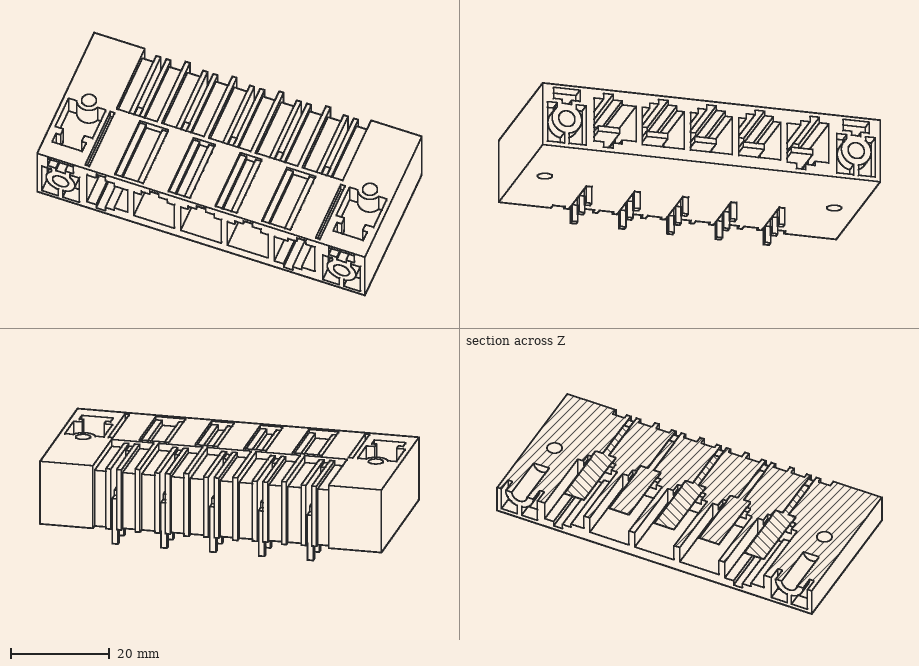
import cadquery as cq

LENGTH = 71.1
DEPTH = 32.0
HEIGHT = 13.5
POSITIONS = 5
PITCH = LENGTH / (POSITIONS + 2)
WALL = 1.0

BLADE_WIDTH = 4.5
BLADE_THICKNESS = 1.15
BLADE_Z = 6.75
BLADE_TIP_Y = 4.4
CONTACT_WIDTH = 1.2
WEB_FRONT_Y = 18.8
WEB_STEP_Y = 28.45
WEB_BACK_Y = 30.4
WEB_TOP_Z = BLADE_Z + BLADE_THICKNESS / 2
WEB_TAIL_TOP_Z = BLADE_Z - BLADE_THICKNESS / 2
PIN_DEPTH = 1.3
PIN_LENGTH = 3.55
PIN_SPACING = PITCH / 2
PINS_PER_CONTACT = 3

SOCKET_DEPTH = 15.0
SOCKET_HALF_WIDTH = 4.4
SOCKET_TOP_Z = 10.6
SOCKET_BOTTOM_Z = 2.4
KEY_HALF_WIDTH = WALL
KEY_TOP_Z = 12.65
MIDDLE_STEP_HALF_WIDTH = 2.85
MIDDLE_STEP_Z = 11.65
END_STEP_X = 1.5
END_STEP_Z = 11.45
END_KEY_X = -1.4
END_BOTTOM_Z = 2.9
END_LOW_STEP_Z = 2.05
END_KEY_BOTTOM_Z = 0.9
BLADE_RECESS_WIDTH = 6.25
BLADE_RECESS_HEIGHT = 3.35
BLADE_RECESS_DEPTH = 2.0

DECK_HALF_LENGTH = 24.55
DECK_FRONT_Y = 16.1
DECK_BACK_Y = 30.6
DECK_Z = 12.0
RIB_WIDTH = WALL
LOW_RIB_BACK_Y = 31.6
LOW_RIB_TOP_Z = 12.95
RIB_BRIDGE_Z = 12.4

GROOVE_FRONT_Y = 0.85
GROOVE_BACK_Y = SOCKET_DEPTH
GROOVE_FLOOR_Z = 11.7
GROOVE_LEDGE_Z = 12.8
GROOVE_LEDGE_WIDTH = 1.35
MIDDLE_GROOVE_WIDTH = 4.7
OUTER_GROOVE_WIDTH = 6.2
OUTER_GROOVE_SHIFT = 0.7
END_GROOVE_WIDTH = 0.9

FLANGE_X = LENGTH / 2 - PITCH / 2
SCREW_Y = 16.0
SCREW_HOLE_RADIUS = 1.5
SCREW_BOSS_RADIUS = 2.5
NUT_POCKET_FLOOR_Z = 9.0
NUT_POCKET_BACK_Y = 15.0
NUT_POCKET_STEP_Y = 7.55
NUT_POCKET_HEAD_Y = 6.0
NUT_POCKET_FRONT_Y = 3.8
FLANGE_POCKET_HALF_WIDTH = 4.05
NUT_NECK_HALF_WIDTH = 2.3
NUT_HEAD_HALF_WIDTH = 3.3
BORE_Z = 6.25
BORE_RADIUS = 1.7
BORE_DEPTH = 9.95
TUBE_RADIUS = 3.1
FLANGE_RECESS_DEPTH = 3.0
FLANGE_RECESS_BOTTOM_Z = 0.9
FLANGE_RECESS_TOP_Z = 9.5
TUBE_BLOCK_HALF_WIDTH = 2.0
T_BAR_HALF_WIDTH = 2.8
T_BAR_BOTTOM_Z = 10.4
T_BAR_TOP_Z = 12.8

POSITION_XS = [(i - (POSITIONS - 1) / 2) * PITCH for i in range(POSITIONS)]
BOUNDARY_XS = [x + PITCH / 2 for x in POSITION_XS[:-1]]


def block(x0, x1, y0, y1, z0, z1):
    """Box between two opposite corners."""
    return cq.Workplane("XY").box(x1 - x0, y1 - y0, z1 - z0, centered=False).translate((x0, y0, z0))


def extrude_back(points, depth):
    """Prism with an X-Z outline, running from the mating face toward +Y."""
    return cq.Workplane("XZ").polyline(points).close().extrude(-depth)


def tube(x, radius, depth):
    """Cylinder running from the mating face toward +Y at the flange bore height."""
    return cq.Workplane("XZ").center(x, BORE_Z).circle(radius).extrude(-depth)


def middle_socket(x):
    """Socket with a centred step and key in its roof and a flat floor."""
    body = block(x - SOCKET_HALF_WIDTH, x + SOCKET_HALF_WIDTH, 0, SOCKET_DEPTH, SOCKET_BOTTOM_Z, SOCKET_TOP_Z)
    step = block(
        x - MIDDLE_STEP_HALF_WIDTH, x + MIDDLE_STEP_HALF_WIDTH, 0, SOCKET_DEPTH, SOCKET_TOP_Z, MIDDLE_STEP_Z
    )
    key = block(x - KEY_HALF_WIDTH, x + KEY_HALF_WIDTH, 0, SOCKET_DEPTH, MIDDLE_STEP_Z, KEY_TOP_Z)
    return body.union(step).union(key)


def end_socket(x, side):
    """Socket with its high roof toward the given end (-1 or 1) and its low floor always toward -X."""
    roof = [
        (x - side * SOCKET_HALF_WIDTH, SOCKET_TOP_Z),
        (x - side * END_STEP_X, SOCKET_TOP_Z),
        (x - side * END_STEP_X, END_STEP_Z),
        (x - side * (END_KEY_X + KEY_HALF_WIDTH), END_STEP_Z),
        (x - side * (END_KEY_X + KEY_HALF_WIDTH), KEY_TOP_Z),
        (x - side * (END_KEY_X - KEY_HALF_WIDTH), KEY_TOP_Z),
        (x - side * (END_KEY_X - KEY_HALF_WIDTH), END_STEP_Z),
        (x + side * SOCKET_HALF_WIDTH, END_STEP_Z),
    ]
    if side > 0:
        roof.reverse()
    floor = [
        (x - SOCKET_HALF_WIDTH, END_LOW_STEP_Z),
        (x + END_KEY_X - KEY_HALF_WIDTH, END_LOW_STEP_Z),
        (x + END_KEY_X - KEY_HALF_WIDTH, END_KEY_BOTTOM_Z),
        (x + END_KEY_X + KEY_HALF_WIDTH, END_KEY_BOTTOM_Z),
        (x + END_KEY_X + KEY_HALF_WIDTH, END_LOW_STEP_Z),
        (x + END_STEP_X, END_LOW_STEP_Z),
        (x + END_STEP_X, END_BOTTOM_Z),
        (x + SOCKET_HALF_WIDTH, END_BOTTOM_Z),
    ]
    return extrude_back(floor + roof, SOCKET_DEPTH)


def blade_recess(x):
    """Rectangular recess around the blade in the socket's end wall."""
    return block(
        x - BLADE_RECESS_WIDTH / 2,
        x + BLADE_RECESS_WIDTH / 2,
        SOCKET_DEPTH,
        SOCKET_DEPTH + BLADE_RECESS_DEPTH,
        BLADE_Z - BLADE_RECESS_HEIGHT / 2,
        BLADE_Z + BLADE_RECESS_HEIGHT / 2,
    )


def web_slot(x):
    """Slot for the contact's upright web, open at the top, bottom and back."""
    return block(x - CONTACT_WIDTH / 2, x + CONTACT_WIDTH / 2, WEB_FRONT_Y, DEPTH, 0, HEIGHT)


def rear_deck(housing):
    """Lower the rear top and set the rear wall in, leaving full ribs, low rib pairs and rib bridges."""
    length = DECK_HALF_LENGTH
    cut = block(-length, length, DECK_FRONT_Y, DEPTH, DECK_Z, HEIGHT)
    cut = cut.union(block(-length, length, DECK_BACK_Y, DEPTH, 0, HEIGHT))
    for x in BOUNDARY_XS:
        cut = cut.cut(block(x - RIB_WIDTH / 2, x + RIB_WIDTH / 2, DECK_FRONT_Y, DEPTH, 0, HEIGHT))
    rib_offset = (CONTACT_WIDTH + RIB_WIDTH) / 2
    for x in POSITION_XS:
        for rib_x in (x - rib_offset, x + rib_offset):
            rib = block(
                rib_x - RIB_WIDTH / 2, rib_x + RIB_WIDTH / 2, DECK_FRONT_Y, LOW_RIB_BACK_Y, 0, LOW_RIB_TOP_Z
            )
            cut = cut.cut(rib)
        bridge = block(
            x - CONTACT_WIDTH / 2, x + CONTACT_WIDTH / 2, DECK_FRONT_Y, WEB_FRONT_Y, 0, RIB_BRIDGE_Z
        )
        cut = cut.cut(bridge)
    return housing.cut(cut)


def stepped_groove(x, width):
    """Groove in the top face with a ledge along each side."""
    half_width = width / 2
    inner = half_width - GROOVE_LEDGE_WIDTH
    upper = block(x - half_width, x + half_width, GROOVE_FRONT_Y, GROOVE_BACK_Y, GROOVE_LEDGE_Z, HEIGHT)
    lower = block(x - inner, x + inner, GROOVE_FRONT_Y, GROOVE_BACK_Y, GROOVE_FLOOR_Z, HEIGHT)
    return upper.union(lower)


def top_grooves(housing):
    """Stepped grooves between neighbouring sockets and a narrow groove beside each flange."""
    first, *middle, last = BOUNDARY_XS
    housing = housing.cut(stepped_groove(first - OUTER_GROOVE_SHIFT, OUTER_GROOVE_WIDTH))
    housing = housing.cut(stepped_groove(last + OUTER_GROOVE_SHIFT, OUTER_GROOVE_WIDTH))
    for x in middle:
        housing = housing.cut(stepped_groove(x, MIDDLE_GROOVE_WIDTH))
    for x0 in (-DECK_HALF_LENGTH - END_GROOVE_WIDTH, DECK_HALF_LENGTH):
        groove = block(x0, x0 + END_GROOVE_WIDTH, GROOVE_FRONT_Y, GROOVE_BACK_Y, GROOVE_FLOOR_Z, HEIGHT)
        housing = housing.cut(groove)
    return housing


def nut_pocket(x):
    """Pocket in the top face with a neck and head toward the front, leaving the screw boss standing."""
    floor = NUT_POCKET_FLOOR_Z
    half = FLANGE_POCKET_HALF_WIDTH
    neck = NUT_NECK_HALF_WIDTH
    head = NUT_HEAD_HALF_WIDTH
    pocket = block(x - half, x + half, NUT_POCKET_STEP_Y, NUT_POCKET_BACK_Y, floor, HEIGHT)
    pocket = pocket.union(block(x - neck, x + neck, NUT_POCKET_HEAD_Y, NUT_POCKET_STEP_Y, floor, HEIGHT))
    pocket = pocket.union(block(x - head, x + head, NUT_POCKET_FRONT_Y, NUT_POCKET_HEAD_Y, floor, HEIGHT))
    boss = cq.Workplane("XY").center(x, SCREW_Y).circle(SCREW_BOSS_RADIUS).extrude(HEIGHT)
    return pocket.cut(boss)


def tube_recess(x):
    """Recess in the mating face around the bore tube, its lower web and its upper block."""
    half = FLANGE_POCKET_HALF_WIDTH
    recess = block(
        x - half, x + half, 0, FLANGE_RECESS_DEPTH, FLANGE_RECESS_BOTTOM_Z, FLANGE_RECESS_TOP_Z
    )
    lower_web = block(x - WALL / 2, x + WALL / 2, 0, FLANGE_RECESS_DEPTH, 0, BORE_Z)
    upper_block = block(
        x - TUBE_BLOCK_HALF_WIDTH, x + TUBE_BLOCK_HALF_WIDTH, 0, FLANGE_RECESS_DEPTH, BORE_Z, HEIGHT
    )
    return recess.cut(tube(x, TUBE_RADIUS, FLANGE_RECESS_DEPTH)).cut(lower_web).cut(upper_block)


def t_recess(x):
    """T-shaped recess in the mating face above the bore tube."""
    bar = block(
        x - T_BAR_HALF_WIDTH, x + T_BAR_HALF_WIDTH, 0, FLANGE_RECESS_DEPTH, T_BAR_BOTTOM_Z, T_BAR_TOP_Z
    )
    stem = block(x - WALL, x + WALL, 0, FLANGE_RECESS_DEPTH, FLANGE_RECESS_TOP_Z, T_BAR_BOTTOM_Z)
    return bar.union(stem)


def flange_features(housing):
    """Screw hole, nut pocket, bore and front recesses in each end flange."""
    for x in (-FLANGE_X, FLANGE_X):
        screw_hole = cq.Workplane("XY").center(x, SCREW_Y).circle(SCREW_HOLE_RADIUS).extrude(HEIGHT)
        housing = housing.cut(nut_pocket(x)).cut(screw_hole)
        housing = housing.cut(tube_recess(x)).cut(t_recess(x)).cut(tube(x, BORE_RADIUS, BORE_DEPTH))
    return housing


def make_contact(x):
    """Flat blade on an upright web with a row of solder pins below it."""
    blade = block(
        x - BLADE_WIDTH / 2, x + BLADE_WIDTH / 2, BLADE_TIP_Y, WEB_FRONT_Y, WEB_TAIL_TOP_Z, WEB_TOP_Z
    )
    left = x - CONTACT_WIDTH / 2
    right = x + CONTACT_WIDTH / 2
    contact = blade.union(block(left, right, WEB_FRONT_Y, WEB_STEP_Y, 0, WEB_TOP_Z))
    contact = contact.union(block(left, right, WEB_STEP_Y, WEB_BACK_Y, 0, WEB_TAIL_TOP_Z))
    for i in range(PINS_PER_CONTACT):
        pin_back = WEB_BACK_Y - i * PIN_SPACING
        contact = contact.union(block(left, right, pin_back - PIN_DEPTH, pin_back, -PIN_LENGTH, 0))
    return contact


def make_housing(contacts):
    """Block with sockets, ribbed rear deck, top grooves and end flanges, fitted around the contacts."""
    housing = block(-LENGTH / 2, LENGTH / 2, 0, DEPTH, 0, HEIGHT)
    housing = flange_features(top_grooves(rear_deck(housing)))
    housing = housing.cut(end_socket(POSITION_XS[0], -1)).cut(end_socket(POSITION_XS[-1], 1))
    for x in POSITION_XS[1:-1]:
        housing = housing.cut(middle_socket(x))
    for x in POSITION_XS:
        housing = housing.cut(blade_recess(x)).cut(web_slot(x))
    for contact in contacts:
        housing = housing.cut(contact)
    return housing


contacts = [make_contact(x) for x in POSITION_XS]
housing = make_housing(contacts)

result = cq.Compound.makeCompound([housing.solids().val(), *[contact.solids().val() for contact in contacts]])